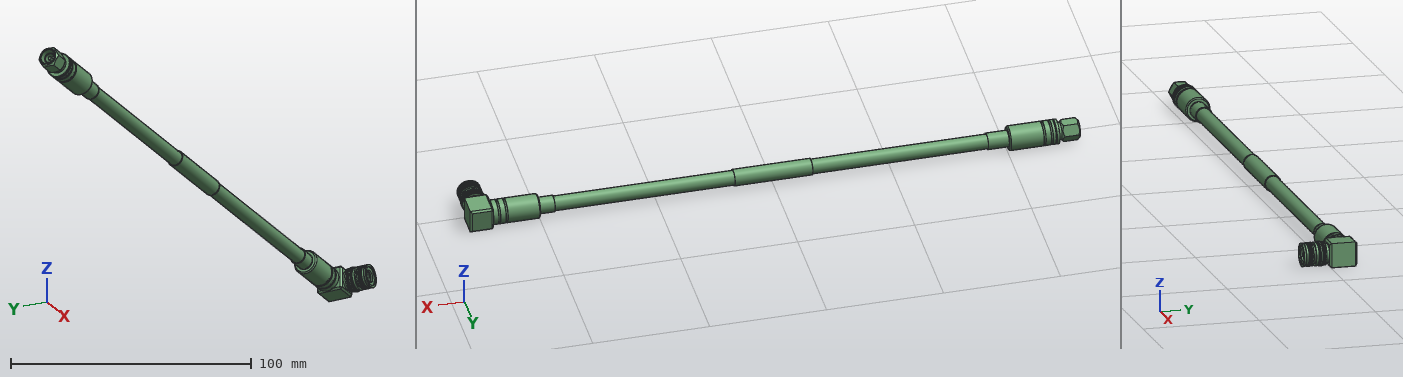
import cadquery as cq
import math

shell_radius = 5.2
shell_chamfer = 0.5
groove_width = 0.8
groove_depth = 0.5

cable_radius = 3.1
tube_radius = 3.54
label_start = 114.5
label_end = 147.7
straight_boot_length = 9.0
angle_boot_length = 6.5

shell_start = 9.2
shell_end = 30.5
neck_radius = 3.7
narrow_groove_width = 0.4
shell_grooves = (
    (10.5, narrow_groove_width),
    (12.3, groove_width),
    (15.5, groove_width),
)
nut_flats = 8.0
nut_length = 7.9
nut_chamfer = 1.0
nut_bore_radius = 3.1
nut_seat = 5.8
plug_tip = 1.5
plug_radius = 2.4
plug_bore_radius = 1.96
pin_radius = 0.65
straight_bore_depth = 3.1

barrel_start = 231.2
block_start = 251.5
block_end = 261.3
block_front = -6.5
block_chamfer = 0.8
barrel_grooves = (245.5, 248.8)
outlet_x = 256.5
spigot_radius = 4.05
spigot_end = -17.0
spigot_step_radius = 2.5
spigot_bore_radius = 1.96
spigot_step_depth = 0.8
spigot_bore_depth = 4.0

ring_radius = 5.0
knurl_width = 0.4
knurl_depth = 0.3
knurl_pitch = 0.8
rear_ring_start = -7.9
rear_ring_end = -12.3
flange_y = -10.0
front_ring_start = -13.4
front_ring_end = -17.5
front_groove_y = -16.0
front_groove_width = 1.0


def cylinder_x(start, end, radius):
    """Cylinder on the cable axis."""
    return cq.Workplane("YZ", origin=(start, 0, 0)).circle(radius).extrude(end - start)


def cylinder_y(start, end, radius):
    """Cylinder on the outlet axis, running toward -Y from start to end."""
    return cq.Workplane("XZ", origin=(outlet_x, start, 0)).circle(radius).extrude(start - end)


def band(cylinder, centre, width, outer, inner):
    """Ring-shaped cutter centred on one place along a cylinder axis."""
    ends = sorted((centre - width / 2, centre + width / 2), reverse=cylinder is cylinder_y)
    return cylinder(*ends, outer).cut(cylinder(*ends, inner))


def make_cable():
    return cylinder_x(shell_end, barrel_start, cable_radius)


def make_tube(start, end):
    """Label sleeve or boot fitted round the cable."""
    return cylinder_x(start, end, tube_radius).cut(cylinder_x(start, end, cable_radius))


def make_straight_plug():
    plug = cylinder_x(shell_start, shell_end, shell_radius).faces(">X").chamfer(shell_chamfer)
    for centre, width in shell_grooves:
        plug = plug.cut(band(cylinder_x, centre, width, shell_radius, shell_radius - groove_depth))
    plug = plug.union(cylinder_x(nut_length, shell_start, neck_radius))
    plug = plug.union(cylinder_x(nut_seat, nut_length, nut_bore_radius))
    plug = plug.union(cylinder_x(plug_tip, nut_seat, plug_radius))
    bore_end = plug_tip + straight_bore_depth
    plug = plug.cut(cylinder_x(plug_tip, bore_end, plug_bore_radius))
    return plug.union(cylinder_x(plug_tip, bore_end, pin_radius))


def make_hex_nut():
    corner_radius = nut_flats / 2 / math.cos(math.pi / 6)
    nut = cq.Workplane("YZ").polygon(6, 2 * corner_radius).extrude(nut_length)
    blank = cylinder_x(0, nut_length, corner_radius).faces("<X or >X").chamfer(nut_chamfer)
    return nut.intersect(blank).cut(cylinder_x(0, nut_length, nut_bore_radius))


def make_angle_plug():
    plug = cylinder_x(barrel_start, block_start, shell_radius).faces("<X").chamfer(shell_chamfer)
    for centre in barrel_grooves:
        plug = plug.cut(band(cylinder_x, centre, groove_width, shell_radius, shell_radius - groove_depth))
    block = (
        cq.Workplane("XY")
        .box(block_end - block_start, shell_radius - block_front, 2 * shell_radius, centered=False)
        .translate((block_start, block_front, -shell_radius))
        .faces("<X or >Y or <Y")
        .chamfer(block_chamfer)
    )
    plug = plug.union(block).union(cylinder_y(block_front, spigot_end, spigot_radius))
    bore_end = spigot_end + spigot_bore_depth
    plug = plug.cut(cylinder_y(spigot_end + spigot_step_depth, spigot_end, spigot_step_radius))
    plug = plug.cut(cylinder_y(bore_end, spigot_end, spigot_bore_radius))
    return plug.union(cylinder_y(bore_end, spigot_end, pin_radius))


def knurled_ring(start, end):
    """Ring round the spigot with evenly spaced fine grooves."""
    ring = cylinder_y(start, end, ring_radius).cut(cylinder_y(start, end, spigot_radius))
    groove_count = int((start - end) / knurl_pitch) - 1
    for index in range(groove_count):
        centre = start - (index + 1) * knurl_pitch
        ring = ring.cut(band(cylinder_y, centre, knurl_width, ring_radius, ring_radius - knurl_depth))
    return ring


def make_rear_ring():
    flange = band(cylinder_y, flange_y, groove_width, shell_radius, spigot_radius)
    return knurled_ring(rear_ring_start, rear_ring_end).union(flange)


def make_front_ring():
    ring = knurled_ring(front_ring_start, front_ring_end)
    return ring.cut(
        band(cylinder_y, front_groove_y, front_groove_width, ring_radius, ring_radius - groove_depth)
    )


cable = make_cable()
label_sleeve = make_tube(label_start, label_end)
straight_boot = make_tube(shell_end, shell_end + straight_boot_length)
angle_boot = make_tube(barrel_start - angle_boot_length, barrel_start)
straight_plug = make_straight_plug()
hex_nut = make_hex_nut()
angle_plug = make_angle_plug()
rear_ring = make_rear_ring()
front_ring = make_front_ring()

result = cq.Compound.makeCompound([
    cable.val(),
    label_sleeve.val(),
    straight_boot.val(),
    angle_boot.val(),
    straight_plug.val(),
    hex_nut.val(),
    angle_plug.val(),
    rear_ring.val(),
    front_ring.val(),
])